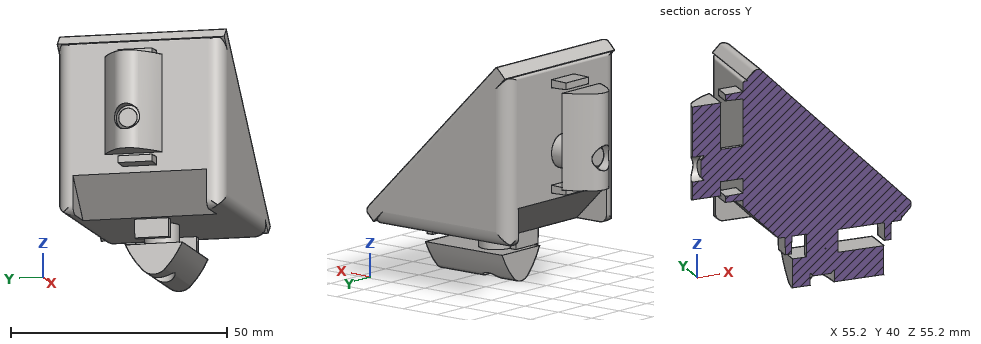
import cadquery as cq
import math


leg_length = 40.0
width = 40.0
leg_tip_height = 1.1
side_fillet = 3.5
corner_fillet = 2.0
tip_fillet = 0.5

relief_leg = 9.0
relief_width = 32.0

plate_thickness = 4.0
plate_length = 55.65
plate_fillet = 1.5

stem_diameter = 8.1
stem_position = 20.0
head_center = 24.0
head_length = 23.0
head_base = 5.5
head_height = 7.25
head_half_width = 6.85
nose_half_width = 2.7
nose_height = 1.15

screw_diameter = 6.0
screw_tip_diameter = 4.4
screw_tip_depth = 2.2

lug_spacing = 25.0
lug_width = 8.1
lug_length = 4.35
lug_base_thickness = 1.9
lug_tip_thickness = 1.6

overlap = 1.0


def to_bottom(shape):
    """Swap X and Z, carrying a feature of the X = 0 leg to the Z = 0 leg."""
    return shape.rotate((0, 0, 0), (1, 0, 1), 180)


def make_leg_bar():
    """Upright bar with a flat face on X = 0 and rounded long edges."""
    bar = cq.Workplane("XY").box(2 * leg_length, width, 2 * leg_length, centered=(False, True, False))
    return bar.edges("|Z and <X").fillet(side_fillet)


def make_body():
    outline = (
        cq.Workplane("XZ")
        .polyline([
            (0, 0),
            (leg_length, 0),
            (leg_length, leg_tip_height),
            (leg_tip_height, leg_length),
            (0, leg_length),
        ])
        .close()
        .extrude(width / 2, both=True)
    )
    outline = outline.edges(cq.selectors.NearestToPointSelector((0, 0, 0))).fillet(corner_fillet)
    for tip in ((leg_length, 0, 0), (0, 0, leg_length)):
        outline = outline.edges(cq.selectors.NearestToPointSelector(tip)).fillet(tip_fillet)
    bar = make_leg_bar()
    return outline.intersect(bar).intersect(to_bottom(bar))


def make_cover_plate():
    middle = (leg_length + leg_tip_height) / 2
    slope = cq.Plane(origin=(middle, 0, middle), xDir=(0, 1, 0), normal=(1, 0, 1))
    plate = cq.Workplane(slope).rect(width, plate_length).extrude(plate_thickness)
    return plate.faces(cq.selectors.DirectionMinMaxSelector(cq.Vector(1, 0, 1))).edges().fillet(plate_fillet)


def make_corner_relief():
    return (
        cq.Workplane("XZ")
        .polyline([(0, 0), (relief_leg, 0), (0, relief_leg)])
        .close()
        .extrude(relief_width / 2, both=True)
    )


def flank_middle(start, end, tangent_angle):
    """Middle point of the arc from start to end leaving start at tangent_angle."""
    dx = end[0] - start[0]
    dy = end[1] - start[1]
    turn = math.atan2(dy, dx) - tangent_angle
    bulge = math.tan(turn / 2) / 2
    return ((start[0] + end[0]) / 2 + dy * bulge, (start[1] + end[1]) / 2 - dx * bulge)


def make_head():
    """Hammer head whose flanks run tangent into a round nose."""
    tip = -(head_base + head_height)
    nose_edge = tip + nose_height
    nose_radius = (nose_half_width ** 2 + nose_height ** 2) / (2 * nose_height)
    nose_tangent = math.pi / 2 - math.asin(nose_half_width / nose_radius)
    shoulder = (nose_edge, nose_half_width)
    corner = (-head_base, head_half_width)
    middle_x, middle_y = flank_middle(shoulder, corner, nose_tangent)
    return (
        cq.Workplane("XY", origin=(0, 0, head_center - head_length / 2))
        .moveTo(-head_base, -head_half_width)
        .lineTo(*corner)
        .threePointArc((middle_x, middle_y), shoulder)
        .threePointArc((tip, 0), (nose_edge, -nose_half_width))
        .threePointArc((middle_x, -middle_y), (-head_base, -head_half_width))
        .close()
        .extrude(head_length)
    )


def make_screw_hole():
    """Hole in the nose, down to a screw end with a 45 degree chamfered tip."""
    tip = -(head_base + head_height)
    chamfer = (screw_diameter - screw_tip_diameter) / 2
    depth = screw_tip_depth + chamfer
    axis = cq.Workplane("YZ", origin=(tip, 0, stem_position))
    hole = axis.circle(screw_diameter / 2).extrude(depth)
    screw_end = (
        axis.workplane(offset=screw_tip_depth)
        .circle(screw_tip_diameter / 2)
        .workplane(offset=chamfer)
        .circle(screw_diameter / 2)
        .loft()
    )
    return hole.cut(screw_end)


def make_stem():
    return (
        cq.Workplane("YZ", origin=(-head_base - overlap, 0, stem_position))
        .circle(stem_diameter / 2)
        .extrude(head_base + 2 * overlap)
    )


def make_lug(position):
    half_base = lug_base_thickness / 2
    half_tip = lug_tip_thickness / 2
    return (
        cq.Workplane("XZ")
        .polyline([
            (0, position - half_base),
            (0, position + half_base),
            (-lug_length, position + half_tip),
            (-lug_length, position - half_tip),
        ])
        .close()
        .extrude(lug_width / 2, both=True)
    )


def make_leg_hardware():
    """Fastener and lugs that stand on the X = 0 leg."""
    hardware = make_head().cut(make_screw_hole()).union(make_stem())
    for side in (-1, 1):
        hardware = hardware.union(make_lug(head_center + side * lug_spacing / 2))
    return hardware


hardware = make_leg_hardware()
result = (
    make_body()
    .union(make_cover_plate())
    .cut(make_corner_relief())
    .union(hardware)
    .union(to_bottom(hardware))
)